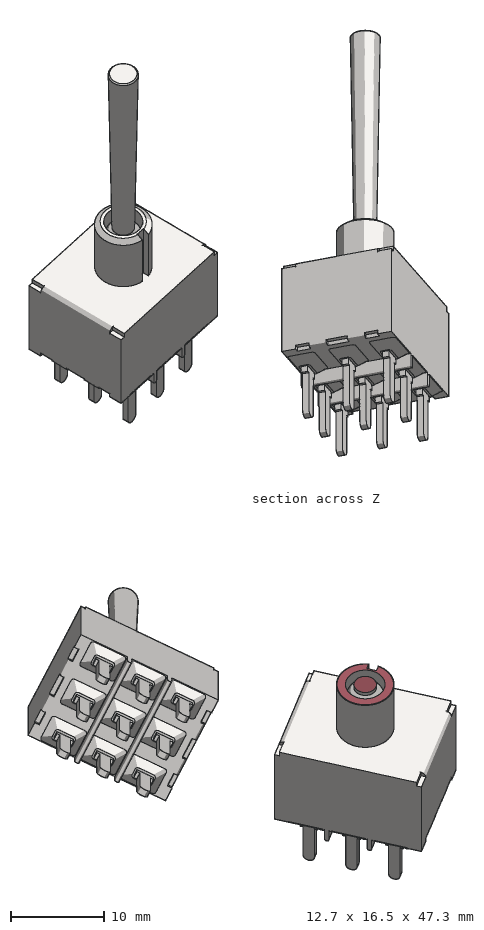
import cadquery as cq
import math


length_x = 12.7
width_y = 16.51
overall_height = 47.35
housing_height = 10.55
sheet_thickness = 0.55
bend_radius = 0.65
panel_width = 9.5
panel_bottom_gap = 0.45
crimp_tab_width = 2.0
crimp_tab_offset = 2.22

bushing_diameter = 6.2
bushing_height = 6.95
bushing_chamfer_height = 0.45
bushing_chamfer_width = 0.62
bore_diameter = 4.2
keyway_width = 1.05
keyway_floor = 2.35

terminal_pitch_x = 4.7
terminal_pitch_y = 4.8
terminal_count = 3
terminal_thickness = 0.75
terminal_width = 1.3
terminal_length = 6.6
collar_width = 2.0
seal_height = 0.9
seal_tip_x = 1.3
seal_tip_y = 2.4
seal_corner_radius = 0.5

rib_thickness = 0.5
rib_depth = 1.6

lever_neck_diameter = 2.46
lever_tip_diameter = 3.25
lever_tip_chamfer = 0.15
ball_depth = 2.55

housing_bottom = -housing_height
ball_radius = bore_diameter / 2
ball_z = bushing_height - ball_depth
lever_top = overall_height - housing_height - terminal_length


def grid_offsets(pitch):
    """Centres of the terminals along one axis."""
    return [(i - (terminal_count - 1) / 2) * pitch for i in range(terminal_count)]


def box_between(x_size, y_size, z_low, z_high, x=0, y=0):
    return cq.Workplane("XY", origin=(x, y, z_low)).rect(x_size, y_size).extrude(z_high - z_low)


def make_case():
    """Block with notched top corners, bent cover edges and crimp tabs under each panel."""
    edge_y = (width_y - sheet_thickness) / 2
    middle = box_between(panel_width, width_y, housing_bottom, 0)
    case = middle.edges("|X and >Z").fillet(bend_radius)
    for end in (-1, 1):
        case = case.union(make_stepped_end(end))
    for side in (-1, 1):
        gap_top = housing_bottom + panel_bottom_gap
        bottom_gap = box_between(panel_width, sheet_thickness, housing_bottom, gap_top, 0, side * edge_y)
        case = case.cut(bottom_gap)
        for end in (-1, 1):
            case = case.union(make_crimp_tab(end * crimp_tab_offset, side))
    return case


def make_stepped_end(end):
    """Slice of the block beyond the cover panels, with a square step along its top corners."""
    end_width = (length_x - panel_width) / 2
    end_x = end * (panel_width + end_width) / 2
    walls = box_between(end_width, width_y, housing_bottom, -sheet_thickness, end_x)
    plate = box_between(end_width, width_y - 2 * sheet_thickness, -sheet_thickness, 0, end_x)
    return walls.union(plate)


def make_crimp_tab(x, side):
    """Tab that curls inward from the lower edge of a cover panel to the housing bottom."""
    outer_y = side * width_y / 2
    inner_y = outer_y - side * sheet_thickness
    curl_y = outer_y - side * panel_bottom_gap
    curl_z = housing_bottom + panel_bottom_gap
    curl_reach = panel_bottom_gap * math.sqrt(0.5)
    return (
        cq.Workplane("YZ", origin=(x - crimp_tab_width / 2, 0, 0))
        .moveTo(inner_y, curl_z)
        .lineTo(outer_y, curl_z)
        .threePointArc((curl_y + side * curl_reach, curl_z - curl_reach), (curl_y, housing_bottom))
        .lineTo(inner_y, housing_bottom)
        .close()
        .extrude(crimp_tab_width)
    )


def make_bushing():
    """Round bushing with a chamfered rim and a keyway along its +X side."""
    radius = bushing_diameter / 2
    bushing = (
        cq.Workplane("XZ")
        .moveTo(0, 0)
        .lineTo(radius, 0)
        .lineTo(radius, bushing_height - bushing_chamfer_height)
        .lineTo(radius - bushing_chamfer_width, bushing_height)
        .lineTo(0, bushing_height)
        .close()
        .revolve(360, (0, 0), (0, 1))
    )
    keyway_depth = radius - keyway_floor
    keyway_x = keyway_floor + keyway_depth / 2
    return bushing.cut(box_between(keyway_depth, keyway_width, 0, bushing_height, keyway_x))


def make_bore():
    """Lever bore that ends in a half-round seat for the lever's ball."""
    return (
        cq.Workplane("XZ")
        .moveTo(0, bushing_height)
        .lineTo(ball_radius, bushing_height)
        .lineTo(ball_radius, ball_z)
        .threePointArc(
            (ball_radius * math.sqrt(0.5), ball_z - ball_radius * math.sqrt(0.5)),
            (0, ball_z - ball_radius),
        )
        .close()
        .revolve(360, (0, 0), (0, 1))
    )


def make_terminal(x, y):
    """Sealing pyramid, collar and round-ended blade of one terminal."""
    seal = (
        cq.Workplane("XY", origin=(x, y, housing_bottom))
        .rect(seal_tip_x + 2 * seal_height, seal_tip_y + 2 * seal_height)
        .workplane(offset=-seal_height)
        .rect(seal_tip_x, seal_tip_y)
        .loft(ruled=True)
        .edges("not #Z")
        .fillet(seal_corner_radius)
    )
    collar = box_between(terminal_thickness, collar_width, housing_bottom - rib_depth, housing_bottom, x, y)
    tip_z = housing_bottom - terminal_length
    blade = box_between(terminal_thickness, terminal_width, tip_z + terminal_width / 2, housing_bottom, x, y)
    tip = (
        cq.Workplane("YZ", origin=(x - terminal_thickness / 2, y, tip_z + terminal_width / 2))
        .circle(terminal_width / 2)
        .extrude(terminal_thickness)
    )
    return seal.union(collar).union(blade).union(tip)


def make_rib(y):
    """Separator rib across the housing with a fully rounded lower edge."""
    round_z = housing_bottom - rib_depth + rib_thickness / 2
    rib = box_between(length_x, rib_thickness, round_z, housing_bottom, 0, y)
    lower_edge = (
        cq.Workplane("YZ", origin=(-length_x / 2, y, round_z))
        .circle(rib_thickness / 2)
        .extrude(length_x)
    )
    return rib.union(lower_edge)


def make_housing():
    housing = make_case().union(make_bushing()).cut(make_bore())
    for x in grid_offsets(terminal_pitch_x):
        for y in grid_offsets(terminal_pitch_y):
            housing = housing.union(make_terminal(x, y))
    for side in (-1, 1):
        housing = housing.union(make_rib(side * terminal_pitch_y / 2))
    return housing


def make_lever():
    """Ball with a handle that widens from the ball to its tip."""
    neck_radius = lever_neck_diameter / 2
    tip_radius = lever_tip_diameter / 2
    neck_z = ball_z + math.sqrt(ball_radius**2 - neck_radius**2)
    return (
        cq.Workplane("XZ")
        .moveTo(0, ball_z - ball_radius)
        .threePointArc((ball_radius, ball_z), (neck_radius, neck_z))
        .lineTo(tip_radius, lever_top - lever_tip_chamfer)
        .lineTo(tip_radius - lever_tip_chamfer, lever_top)
        .lineTo(0, lever_top)
        .close()
        .revolve(360, (0, 0), (0, 1))
    )


housing = make_housing()
lever = make_lever()

result = cq.Compound.makeCompound([housing.val(), lever.val()])